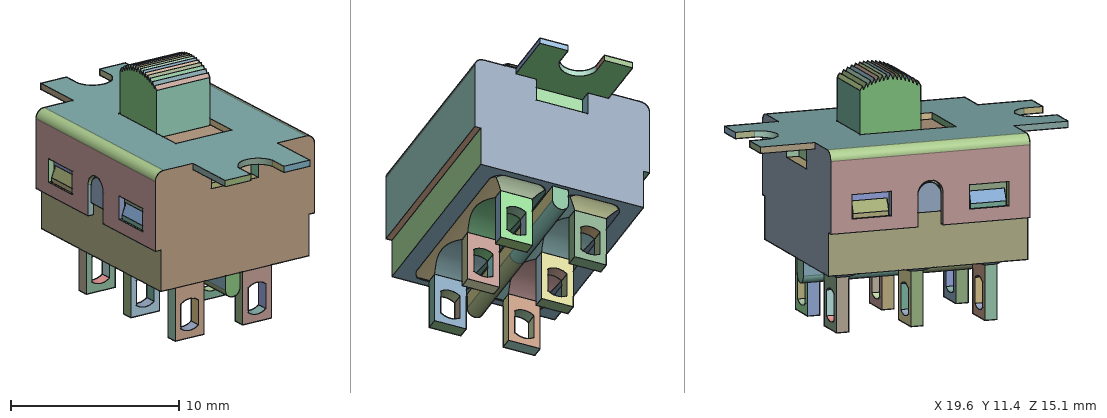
import cadquery as cq
import math


ear_span = 19.56
ear_width = 6.06
ear_slot_width = 2.37
ear_slot_end_diameter = 2.4
ear_slot_depth = 2.2
bracket_length = 12.67
bracket_width = 11.42
sheet = 0.4
bend_radius = 0.59
skirt_bottom = -5.03

housing_width = bracket_width - 2 * sheet
housing_bottom = -7.67
end_recess_width = 3.36
end_recess_bottom = -1.9
end_recess_depth = 0.78

window_spacing = 7.47
window_length = 2.48
window_top = -2.72
window_bottom = -4.2
catch_length = 2.25
catch_top = -3.19
catch_ramp_bottom = -3.91
catch_depth = 0.25

notch_width = 1.6
notch_top = -2.25
boss_width = 1.47
boss_top = -2.4
boss_depth = 0.22

opening_length = 6.06
opening_width = 4.01
knob_length = 3.87
knob_width = 3.83
knob_top = 3.52
shoulder_height = 2.66
tooth_pitch = 0.25
teeth_per_side = 7
tooth_depth = 0.33
crest_radius = 2.93
root_radius = 3.33
root_shift = 0.3

rib_length = 12.2
rib_width = 1.04
rib_bottom = -9.21

overall_height = 15.14
pin_pitch = 4.71
row_spacing = 4.83
pin_thickness = 0.78
pin_width = 2.07
pin_bottom = knob_top - overall_height
pin_hole_diameter = 2.01
pin_hole_width = 1.25
pin_hole_z = -10.13

flare_reach = 0.78
flare_bottom = -8.23
flare_saddle = -7.85
flare_sag = 0.05


def block(x_range, y_range, z_range):
    """Axis-aligned box between the given limits."""
    (x0, x1), (y0, y1), (z0, z1) = x_range, y_range, z_range
    return cq.Workplane("XY").box(x1 - x0, y1 - y0, z1 - z0, centered=False).translate((x0, y0, z0))


def centred(length):
    """Limits of a length centred on zero."""
    return (-length / 2, length / 2)


def arch(width, top, bottom, depth):
    """Round-topped prism standing on the front face of the housing."""
    spring = top - width / 2
    return (
        cq.Workplane("XZ", origin=(0, -housing_width / 2, 0))
        .moveTo(-width / 2, bottom)
        .lineTo(-width / 2, spring)
        .threePointArc((0, top), (width / 2, spring))
        .lineTo(width / 2, bottom)
        .close()
        .extrude(depth)
    )


def make_bracket():
    """Bent sheet with rounded top corners, ears and the knob opening."""
    shell = block(centred(bracket_length), centred(bracket_width), (skirt_bottom, 0))
    shell = shell.edges("|X and >Z").fillet(bend_radius)
    shell = shell.cut(block(centred(bracket_length), centred(housing_width), (skirt_bottom, -sheet)))
    shell = shell.union(block(centred(ear_span), centred(ear_width), (-sheet, 0)))

    end = ear_span / 2
    half_slot = ear_slot_width / 2
    apex_x = end - ear_slot_depth
    arc_radius = ear_slot_end_diameter / 2
    arc_start_x = apex_x + arc_radius - math.sqrt(arc_radius**2 - half_slot**2)
    slot = (
        cq.Workplane("XY")
        .moveTo(end, half_slot)
        .lineTo(arc_start_x, half_slot)
        .threePointArc((apex_x, 0), (arc_start_x, -half_slot))
        .lineTo(end, -half_slot)
        .close()
        .extrude(-sheet)
    )
    opening = block(centred(opening_length), centred(opening_width), (-sheet, 0))
    return shell.cut(slot).cut(slot.mirror("YZ")).cut(opening)


def make_housing():
    """Solid block with a recess at the top of each end."""
    body = block(centred(bracket_length), centred(housing_width), (housing_bottom, -sheet))
    end = bracket_length / 2
    for x_range in ((-end, end_recess_depth - end), (end - end_recess_depth, end)):
        body = body.cut(block(x_range, centred(end_recess_width), (end_recess_bottom, -sheet)))
    return body


def make_catch(x):
    """Wedge on the front face, ramped at the top."""
    face = -housing_width / 2
    return (
        cq.Workplane("YZ", origin=(x - catch_length / 2, 0, 0))
        .polyline([
            (face, catch_top),
            (face - catch_depth, catch_ramp_bottom),
            (face - catch_depth, window_bottom),
            (face, window_bottom),
        ])
        .close()
        .extrude(catch_length)
    )


def make_knob():
    """Thumb knob with a crowned, saw-toothed top; the teeth mirror about its centre."""

    def crown(offset, top, radius):
        return top - radius + math.sqrt(radius**2 - offset**2)

    half = []
    for i in range(1, teeth_per_side + 1):
        root = (i - root_shift) * tooth_pitch
        crest = i * tooth_pitch
        half.append((root, crown(root, knob_top - tooth_depth, root_radius)))
        half.append((crest, crown(crest, knob_top, crest_radius)))
    half.append((knob_length / 2, shoulder_height))
    half.append((knob_length / 2, -sheet))

    mirrored = [(-x, z) for x, z in reversed(half)]
    outline = mirrored + [(0, knob_top)] + half
    centre_x = (knob_length - opening_length) / 2
    knob = cq.Workplane("XZ").polyline(outline).close().extrude(knob_width / 2, both=True)
    return knob.translate((centre_x, 0, 0))


def make_rib():
    """Full-length rib with a half-round lower edge."""
    tip_z = rib_bottom + rib_width / 2
    tip = cq.Workplane("YZ").center(0, tip_z).circle(rib_width / 2).extrude(rib_length / 2, both=True)
    upper = block(centred(rib_length), centred(rib_width), (tip_z, housing_bottom))
    return upper.union(tip)


def make_pin(x, y):
    """Flat terminal with a round hole narrowed by straight sides."""
    x_range = (x - pin_thickness / 2, x + pin_thickness / 2)
    pin = block(x_range, (y - pin_width / 2, y + pin_width / 2), (pin_bottom, housing_bottom))
    hole = (
        cq.Workplane("YZ", origin=(x, y, pin_hole_z))
        .circle(pin_hole_diameter / 2)
        .extrude(pin_thickness, both=True)
    )
    hole_y_range = (y - pin_hole_width / 2, y + pin_hole_width / 2)
    hole_sides = block(x_range, hole_y_range, (pin_bottom, housing_bottom))
    return pin.cut(hole.intersect(hole_sides))


def make_flare(y):
    """Sealant on one row: lengthwise profile crossed with the row's section, corners rounded."""
    half_pin = pin_thickness / 2
    half_width = pin_width / 2
    end_x = pin_pitch + half_pin
    top_x = end_x + flare_reach
    half_row = half_width + flare_reach

    lengthwise = (
        cq.Workplane("XZ", origin=(0, y, 0))
        .moveTo(-top_x, housing_bottom)
        .sagittaArc((-end_x, flare_bottom), flare_sag)
        .lineTo(half_pin - pin_pitch, flare_bottom)
        .threePointArc((-pin_pitch / 2, flare_saddle), (-half_pin, flare_bottom))
        .lineTo(half_pin, flare_bottom)
        .threePointArc((pin_pitch / 2, flare_saddle), (pin_pitch - half_pin, flare_bottom))
        .lineTo(end_x, flare_bottom)
        .sagittaArc((top_x, housing_bottom), flare_sag)
        .close()
        .extrude(half_row, both=True)
    )
    crosswise = (
        cq.Workplane("YZ", origin=(0, y, 0))
        .moveTo(-half_row, housing_bottom)
        .sagittaArc((-half_width, flare_bottom), flare_sag)
        .lineTo(half_width, flare_bottom)
        .sagittaArc((half_row, housing_bottom), flare_sag)
        .close()
        .extrude(top_x, both=True)
    )
    plan = block(centred(2 * top_x), (y - half_row, y + half_row), (flare_bottom, housing_bottom))
    plan = plan.edges("|Z").fillet(flare_reach)
    return lengthwise.intersect(crosswise).intersect(plan)


bracket = make_bracket()
housing = make_housing()

front_skirt = (-bracket_width / 2, -housing_width / 2)
for window_x in (-window_spacing / 2, window_spacing / 2):
    window_range = (window_x - window_length / 2, window_x + window_length / 2)
    bracket = bracket.cut(block(window_range, front_skirt, (window_bottom, window_top)))
    housing = housing.union(make_catch(window_x))

bracket = bracket.cut(arch(notch_width, notch_top, skirt_bottom, sheet))
housing = housing.union(arch(boss_width, boss_top, window_bottom, boss_depth))

result = housing.union(bracket).union(make_knob()).union(make_rib())
for row_y in (-row_spacing / 2, row_spacing / 2):
    result = result.union(make_flare(row_y))
    for pin_x in (-pin_pitch, 0, pin_pitch):
        result = result.union(make_pin(pin_x, row_y))